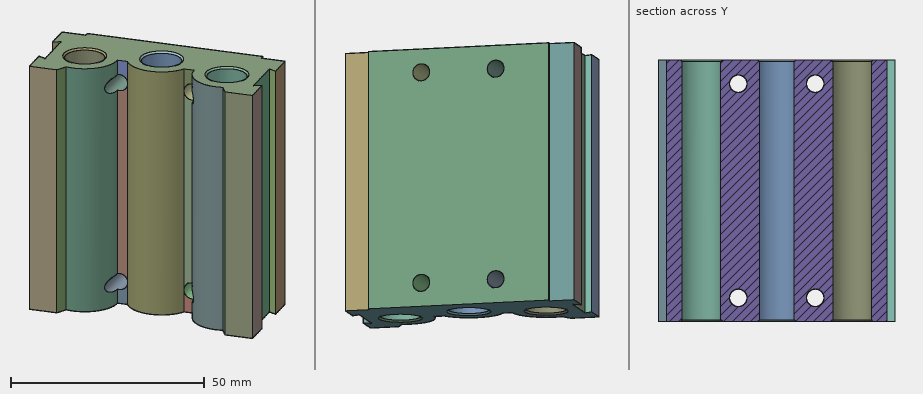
import cadquery as cq
import math

width = 61.0
depth = 26.5
height = 67.5
half_width = width / 2
back_y = depth / 2
front_y = -depth / 2

pad_width = 48.05
pad_height = 1.2

groove_depth = 2.0
groove_mouth_width = 10.4
groove_floor_width = 12.3
groove_center_y = back_y - 13.85

bore_radius = 5.2
bore_chamfer = 0.5
wall_radius = 9.0
outer_bore_x = 19.45
outer_bore_y = back_y - 15.0
middle_bore_y = back_y - 10.45
valley_y = outer_bore_y

foot_width = 7.5
flank_angle = math.radians(30)

mount_radius = 2.2
mount_x = 9.9
mount_end_distance = 6.15


def make_body():
    """Extrude the profile, which is symmetric about the YZ plane."""
    groove_x = half_width - groove_depth
    mouth_half = groove_mouth_width / 2
    floor_half = groove_floor_width / 2
    foot_x = half_width - foot_width

    flank_distance = (
        (outer_bore_x - foot_x) * math.cos(flank_angle)
        + (outer_bore_y - front_y) * math.sin(flank_angle)
    )
    flank_meet_angle = math.pi + flank_angle + math.acos(flank_distance / wall_radius)
    arc_mid_angle = (math.pi + flank_meet_angle) / 2

    def on_outer_wall(angle, side):
        x = outer_bore_x + wall_radius * math.cos(angle)
        y = outer_bore_y + wall_radius * math.sin(angle)
        return (side * x, y)

    middle_wall_x = math.sqrt(wall_radius**2 - (middle_bore_y - valley_y) ** 2)

    outside = [
        (pad_width / 2, back_y),
        (pad_width / 2, back_y - pad_height),
        (half_width, back_y - pad_height),
        (half_width, groove_center_y + mouth_half),
        (groove_x, groove_center_y + floor_half),
        (groove_x, groove_center_y - floor_half),
        (half_width, groove_center_y - mouth_half),
        (half_width, front_y),
        (foot_x, front_y),
        on_outer_wall(flank_meet_angle, 1),
    ]
    left_outside = [(-x, y) for x, y in reversed(outside)]
    profile = (
        cq.Workplane("XY")
        .polyline(outside)
        .threePointArc(on_outer_wall(arc_mid_angle, 1), on_outer_wall(math.pi, 1))
        .lineTo(middle_wall_x, valley_y)
        .threePointArc((0, middle_bore_y - wall_radius), (-middle_wall_x, valley_y))
        .lineTo(*on_outer_wall(math.pi, -1))
        .threePointArc(on_outer_wall(arc_mid_angle, -1), left_outside[0])
    )
    for point in left_outside[1:]:
        profile = profile.lineTo(*point)
    return profile.close().extrude(height)


def make_bore(x, y):
    """Through bore with a chamfered mouth at each end, as a solid to remove."""
    mouth_radius = bore_radius + bore_chamfer
    half_section = [
        (0, 0),
        (mouth_radius, 0),
        (bore_radius, bore_chamfer),
        (bore_radius, height - bore_chamfer),
        (mouth_radius, height),
        (0, height),
    ]
    bore = cq.Workplane("XZ").polyline(half_section).close()
    return bore.revolve(360, (0, 0, 0), (0, 1, 0)).translate((x, y, 0))


def make_mounting_holes():
    """Four cylinders across the full depth, as solids to remove."""
    centers = [
        (x, z)
        for x in (-mount_x, mount_x)
        for z in (mount_end_distance, height - mount_end_distance)
    ]
    holes = cq.Workplane("XZ").pushPoints(centers).circle(mount_radius)
    return holes.extrude(depth / 2, both=True)


bore_centers = [
    (-outer_bore_x, outer_bore_y),
    (0, middle_bore_y),
    (outer_bore_x, outer_bore_y),
]

result = make_body()
for bore_x, bore_y in bore_centers:
    result = result.cut(make_bore(bore_x, bore_y))
result = result.cut(make_mounting_holes())